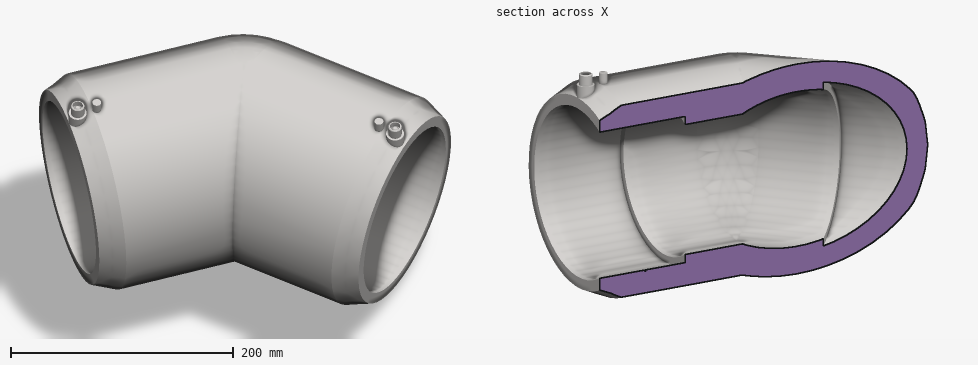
import cadquery as cq
import math

total_length = 343.5
bend_angle = 45.0
outer_diameter = 200.0
end_face_diameter = 180.5
bore_diameter = 146.7
socket_diameter = 160.0
socket_depth = 88.3
taper_length = 22.5

bend_cosine = math.cos(math.radians(bend_angle))
bend_sine = math.sin(math.radians(bend_angle))
leg_length = (total_length - end_face_diameter / 2 * bend_sine) / (1 + bend_cosine)

collar_diameter = 16.0
collar_top = 101.7
terminal_diameter = 12.0
terminal_top = 112.0
terminal_chamfer = 0.7
cup_diameter = 9.3
cup_depth = 5.0
contact_diameter = 5.0
contact_recess = 2.5
contact_chamfer = 1.0
terminal_base = 86.0
terminal_position = leg_length - collar_diameter / 2
second_terminal_setback = 1.7

indicator_diameter = 8.0
indicator_top = 110.0
indicator_base = 92.8
indicator_position = leg_length - 26.0


def post(diameter, bottom, top, position):
    """Vertical cylinder above the axis of the straight leg."""
    return (
        cq.Workplane("XY", origin=(0, -position, bottom))
        .circle(diameter / 2)
        .extrude(top - bottom)
    )


def revolve_leg(profile):
    """Turn a (radius, y) profile around the Y axis."""
    return cq.Workplane("XY").polyline(profile).close().revolve(360, (0, 0, 0), (0, 1, 0))


def leg_body():
    return revolve_leg([
        (0, 0),
        (outer_diameter / 2, 0),
        (outer_diameter / 2, taper_length - leg_length),
        (end_face_diameter / 2, -leg_length),
        (0, -leg_length),
    ])


def leg_bore():
    socket_floor = socket_depth - leg_length
    return revolve_leg([
        (0, 0),
        (bore_diameter / 2, 0),
        (bore_diameter / 2, socket_floor),
        (socket_diameter / 2, socket_floor),
        (socket_diameter / 2, -leg_length),
        (0, -leg_length),
    ])


def leg_fittings(position):
    """Collared terminal at the given position, with a cup around its contact, and the indicator pin."""
    collar = post(collar_diameter, terminal_base, collar_top, position)
    sleeve = post(terminal_diameter, collar_top, terminal_top, position)
    sleeve = sleeve.faces(">Z").edges().chamfer(terminal_chamfer)
    cup_floor = terminal_top - cup_depth
    cup = post(cup_diameter, cup_floor, terminal_top, position)
    contact = post(contact_diameter, cup_floor, terminal_top - contact_recess, position)
    contact = contact.faces(">Z").edges().chamfer(contact_chamfer)
    indicator = post(indicator_diameter, indicator_base, indicator_top, indicator_position)
    return collar.union(sleeve).cut(cup).union(contact).union(indicator)


def on_second_leg(shape):
    """Move a straight-leg shape to the leg on the other side of the bend."""
    return shape.rotate((0, 0, 0), (0, 0, 1), 180 - bend_angle)


def on_both_legs(shape):
    return shape.union(on_second_leg(shape))


body = on_both_legs(leg_body()).union(cq.Workplane("XY").sphere(outer_diameter / 2))
bore = leg_bore()
body = body.cut(bore).cut(on_second_leg(bore))
body = body.cut(cq.Workplane("XY").sphere(bore_diameter / 2))

first_fittings = leg_fittings(terminal_position)
second_fittings = on_second_leg(leg_fittings(terminal_position - second_terminal_setback))
result = body.union(first_fittings).union(second_fittings)